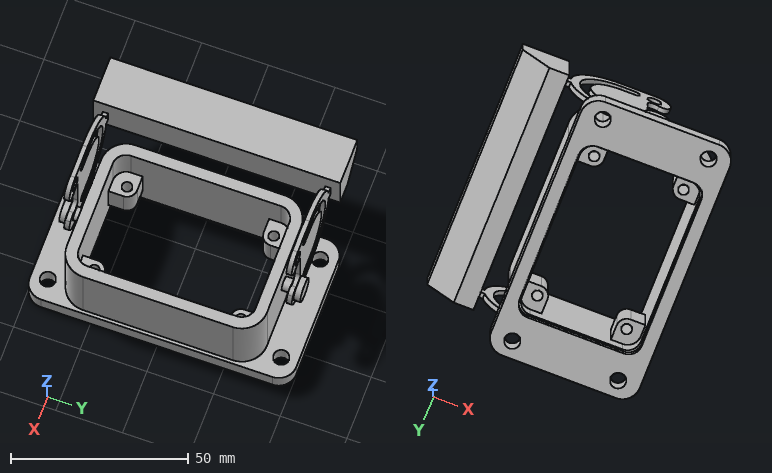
import cadquery as cq
import math

plate_width = 45.0
plate_length = 80.0
plate_height = 5.6
plate_corner_radius = 5.3
mount_hole_diameter = 4.6
mount_hole_spacing_x = 32.0
mount_hole_spacing_y = 70.0

housing_width = 43.0
housing_length = 60.0
housing_top = 29.3
housing_corner_radius = 7.5
wall = 3.5
opening_width = housing_width - 2 * wall
opening_length = housing_length - 2 * wall
opening_corner_radius = housing_corner_radius - wall

recess_margin = 0.5
recess_height = 2.0
recess_width = opening_width + 2 * recess_margin
recess_length = opening_length + 2 * recess_margin

post_size = 7.5
post_root = 0.8
post_radius = 3.0
post_height = 10.0
post_top = 17.3
post_bottom = post_top - post_height
post_hole_diameter = 3.0
post_hole_spacing_x = opening_width - 2 * (post_size - post_radius)
post_hole_spacing_y = opening_length - 2 * (post_size - post_radius)

lever_top = 45.3
lever_mid_height = 29.8
lever_half_height = lever_top - lever_mid_height
lever_thickness = 1.6
lever_outer_face = 34.2
bow_center_x = -10.0
slot_outer_radius = 12.6
slot_inner_radius = 9.4
slot_end_x = -6.0

hook_radius = 5.0
pin_diameter = 4.2
hook_gap_radius = pin_diameter / 2
hook_tip_radius = 2.0
pivot_offset = lever_half_height - hook_radius
pivot_height = lever_mid_height - pivot_offset

pin_head_diameter = 7.2
pin_head_thickness = 2.0

overall_width = 63.5
handle_left = plate_width / 2 - overall_width
handle_size = 14.1
handle_right = handle_left + handle_size
handle_length = 74.2
handle_bottom = 23.7
handle_chamfer = 8.1
tab_height = 4.2


def rounded_block(width, length, radius, bottom, top):
    """Upright block centred on Z with rounded vertical edges."""
    block = cq.Workplane("XY", origin=(0, 0, bottom)).rect(width, length).extrude(top - bottom)
    return block.edges("|Z").fillet(radius)


def four_cylinders(spacing_x, spacing_y, diameter, bottom, top):
    """Upright cylinders at the corners of a centred rectangle."""
    pattern = cq.Workplane("XY", origin=(0, 0, bottom)).rarray(spacing_x, spacing_y, 2, 2)
    return pattern.circle(diameter / 2).extrude(top - bottom)


def make_housing():
    """Flanged housing, open right through, with an underside recess and four mounting holes."""
    plate = rounded_block(plate_width, plate_length, plate_corner_radius, 0, plate_height)
    shell = rounded_block(housing_width, housing_length, housing_corner_radius, 0, housing_top)
    opening = rounded_block(opening_width, opening_length, opening_corner_radius, 0, housing_top)
    recess = rounded_block(recess_width, recess_length, opening_corner_radius, 0, recess_height)
    mount_holes = four_cylinders(
        mount_hole_spacing_x, mount_hole_spacing_y, mount_hole_diameter, 0, plate_height
    )
    return plate.union(shell).cut(opening).cut(recess).cut(mount_holes)


def make_posts():
    """Corner posts, each with one rounded edge facing the middle of the opening."""
    block_size = post_size + post_root
    post = (
        cq.Workplane("XY", origin=(0, 0, post_bottom))
        .center(opening_width / 2 - post_size, opening_length / 2 - post_size)
        .rect(block_size, block_size, centered=False)
        .extrude(post_top - post_bottom)
    )
    post = post.edges("|Z and <X and <Y").fillet(post_radius)
    pair = post.union(post.mirror("YZ"))
    posts = pair.union(pair.mirror("XZ"))
    holes = four_cylinders(
        post_hole_spacing_x, post_hole_spacing_y, post_hole_diameter, post_bottom, post_top
    )
    return posts.cut(holes)


def make_half_lever():
    """Upper half of the front lever plate, drawn from the mid height upwards."""
    plane = cq.Workplane("XZ", origin=(0, -lever_outer_face, lever_mid_height))
    diagonal = math.sqrt(0.5)

    tip_to_pivot = hook_radius - hook_tip_radius
    tip_to_gap = hook_gap_radius + hook_tip_radius
    tip_drop = (tip_to_pivot**2 + hook_radius**2 - tip_to_gap**2) / (2 * hook_radius)
    tip_x = math.sqrt(tip_to_pivot**2 - tip_drop**2)
    tip_z = pivot_offset - tip_drop
    gap_z = pivot_offset - hook_radius
    reach = hook_radius / tip_to_pivot
    hook_end = (tip_x * reach, pivot_offset - tip_drop * reach)
    share = hook_gap_radius / tip_to_gap
    gap_end = (tip_x * share, gap_z + (tip_z - gap_z) * share)

    half = (
        plane.moveTo(bow_center_x - lever_half_height, 0)
        .threePointArc(
            (bow_center_x - lever_half_height * diagonal, lever_half_height * diagonal),
            (bow_center_x, lever_half_height),
        )
        .lineTo(0, lever_half_height)
        .threePointArc((hook_radius, pivot_offset), hook_end)
        .threePointArc((tip_x, tip_z - hook_tip_radius), gap_end)
        .threePointArc((0, gap_z + hook_gap_radius), (-hook_gap_radius, gap_z))
        .lineTo(-hook_gap_radius, 0)
        .close()
        .extrude(-lever_thickness)
    )

    slot_mid_radius = (slot_outer_radius + slot_inner_radius) / 2
    slot_end_radius = (slot_outer_radius - slot_inner_radius) / 2
    slot = (
        plane.moveTo(bow_center_x - slot_outer_radius, 0)
        .threePointArc(
            (bow_center_x - slot_outer_radius * diagonal, slot_outer_radius * diagonal),
            (bow_center_x, slot_outer_radius),
        )
        .lineTo(slot_end_x, slot_outer_radius)
        .threePointArc((slot_end_x + slot_end_radius, slot_mid_radius), (slot_end_x, slot_inner_radius))
        .lineTo(bow_center_x, slot_inner_radius)
        .threePointArc(
            (bow_center_x - slot_inner_radius * diagonal, slot_inner_radius * diagonal),
            (bow_center_x - slot_inner_radius, 0),
        )
        .close()
        .extrude(-lever_thickness)
    )
    pivot_hole = plane.center(0, pivot_offset).circle(pin_diameter / 2).extrude(-lever_thickness)
    return half.cut(slot).cut(pivot_hole)


def make_tab():
    """Short bridge from the handle bar into the bow of the front lever plate."""
    bow_mid_radius = (lever_half_height + slot_outer_radius) / 2
    tab_length = bow_center_x - bow_mid_radius - handle_right
    tab_center = (handle_right + tab_length / 2, lever_thickness / 2 - lever_outer_face, lever_mid_height)
    return cq.Workplane("XY").box(tab_length, lever_thickness, tab_height).translate(tab_center)


def make_pin():
    """Headed pivot pin, from the front wall of the housing through the lower lever hole."""
    housing_face = housing_length / 2
    shank = (
        cq.Workplane("XZ", origin=(0, -housing_face, pivot_height))
        .circle(pin_diameter / 2)
        .extrude(lever_outer_face - housing_face)
    )
    head = (
        cq.Workplane("XZ", origin=(0, -lever_outer_face, pivot_height))
        .circle(pin_head_diameter / 2)
        .extrude(pin_head_thickness)
    )
    return shank.union(head)


def make_lever_side():
    """Front lever plate with its tab and pivot pin."""
    half = make_half_lever()
    plate = half.union(half.mirror("XY", (0, 0, lever_mid_height)))
    return plate.union(make_tab()).union(make_pin())


def make_handle():
    """Square bar along Y with its lower outer edge bevelled."""
    bar = cq.Workplane("XY").box(handle_size, handle_length, handle_size)
    bar = bar.edges("<X and <Z").chamfer(handle_chamfer)
    return bar.translate((handle_left + handle_size / 2, 0, handle_bottom + handle_size / 2))


lever_side = make_lever_side()
result = (
    make_housing()
    .union(make_posts())
    .union(make_handle())
    .union(lever_side)
    .union(lever_side.mirror("XZ"))
)